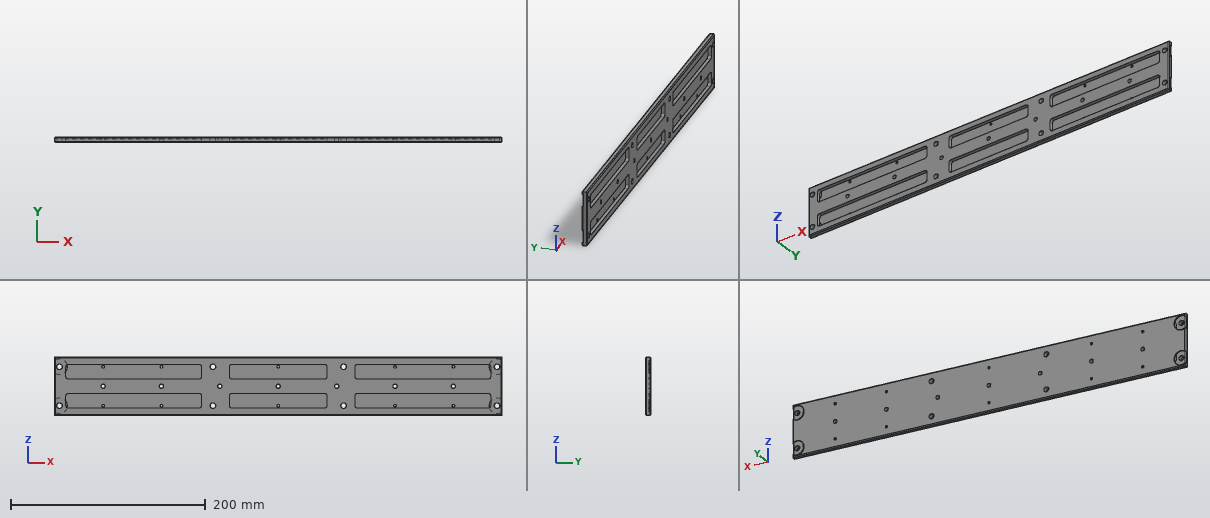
import cadquery as cq

length = 460.0
thickness = 6.0
height = 60.0
edge_chamfer = 1.1

pocket_depth = 4.0
pocket_bottom = 7.5
pocket_top = 22.5
pocket_corner_radius = 3.0
outer_pocket_length = 140.0
middle_pocket_length = 100.7
outer_pocket_offset = 148.5

row_spacing = 40.0
row_offset = row_spacing / 2

mounting_hole_diameter = 5.5
inner_mounting_offset = 67.0
end_mounting_offset = 225.0
seat_diameter = 16.0
seat_depth = 1.0

centre_hole_steps = [-3, -2, -1, 0, 1, 2, 3]
pocket_hole_steps = [-3, -2, 0, 2, 3]
centre_row_length = 360.0
hole_pitch = centre_row_length / (len(centre_hole_steps) - 1)
centre_hole_diameter = 4.0
pocket_hole_diameter = 2.5

front_y = -thickness / 2
back_y = thickness / 2


def on_both_rows(x_places):
    """Points at each X place, on the upper and the lower row."""
    return [(x, side * row_offset) for x in x_places for side in (-1, 1)]


def on_both_sides(offset):
    """The two X places at the same distance left and right of the middle."""
    return [-offset, offset]


def through_cylinders(points, diameter):
    """Cylinders along Y through the full thickness, at (X, Z) points."""
    back_plane = cq.Workplane("XZ", origin=(0, back_y, 0))
    return back_plane.pushPoints(points).circle(diameter / 2).extrude(thickness)


def make_plate(plate_thickness):
    """Plate standing on the front plane, with every front and back edge chamfered."""
    plate = cq.Workplane("XY").box(length, plate_thickness, height)
    plate = plate.faces("<Y or >Y").edges().chamfer(edge_chamfer)
    return plate.translate((0, front_y + plate_thickness / 2, 0))


def make_pockets(x_places, pocket_length):
    """Round-cornered pocket bodies on both rows at each X place."""
    pocket_middle_z = (pocket_top + pocket_bottom) / 2
    centres = [(x, side * pocket_middle_z) for x in x_places for side in (-1, 1)]
    floor_plane = cq.Workplane("XZ", origin=(0, front_y + pocket_depth, 0))
    return (
        floor_plane.pushPoints(centres)
        .rect(pocket_length, pocket_top - pocket_bottom)
        .extrude(pocket_depth)
        .edges("|Y")
        .fillet(pocket_corner_radius)
    )


def make_mounting_holes():
    x_places = on_both_sides(inner_mounting_offset) + on_both_sides(end_mounting_offset)
    return through_cylinders(on_both_rows(x_places), mounting_hole_diameter)


def make_end_seats():
    """Round seats that break out at the plate ends, where their floors carry the same edge chamfer."""
    seat_points = on_both_rows(on_both_sides(end_mounting_offset))
    thinned_plate = make_plate(thickness - seat_depth)
    return through_cylinders(seat_points, seat_diameter).cut(thinned_plate)


def make_centre_holes():
    points = [(step * hole_pitch, 0) for step in centre_hole_steps]
    return through_cylinders(points, centre_hole_diameter)


def make_pocket_holes():
    x_places = [step * hole_pitch for step in pocket_hole_steps]
    return through_cylinders(on_both_rows(x_places), pocket_hole_diameter)


result = (
    make_plate(thickness)
    .cut(make_pockets(on_both_sides(outer_pocket_offset), outer_pocket_length))
    .cut(make_pockets([0], middle_pocket_length))
    .cut(make_end_seats())
    .cut(make_mounting_holes())
    .cut(make_centre_holes())
    .cut(make_pocket_holes())
)